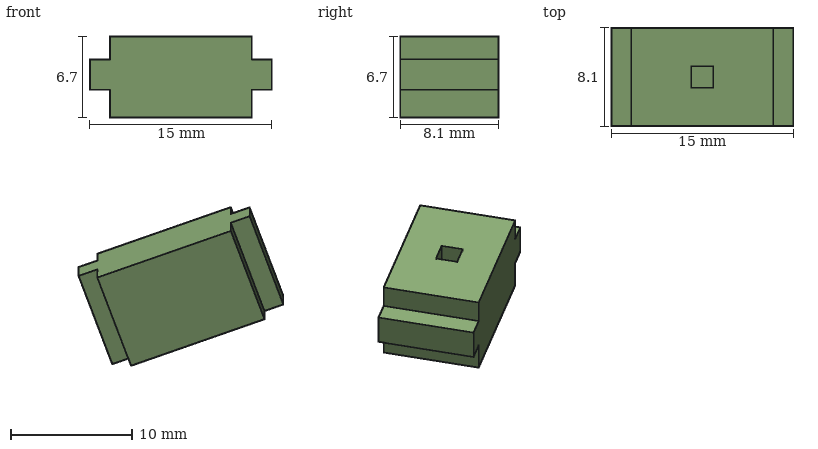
import cadquery as cq

total_length = 15.0
width = 8.1
height = 6.7

body_length = 11.7
tab_thickness = 2.5
tab_bottom = 2.3

pocket_side = 1.8
pocket_depth = height / 2

body = cq.Workplane("XY").box(body_length, width, height, centered=(True, True, False))

tabs = (
    cq.Workplane("XY")
    .workplane(offset=tab_bottom)
    .box(total_length, width, tab_thickness, centered=(True, True, False))
)

pocket = (
    cq.Workplane("XY")
    .workplane(offset=height - pocket_depth)
    .box(pocket_side, pocket_side, pocket_depth, centered=(True, True, False))
)

result = body.union(tabs).cut(pocket)